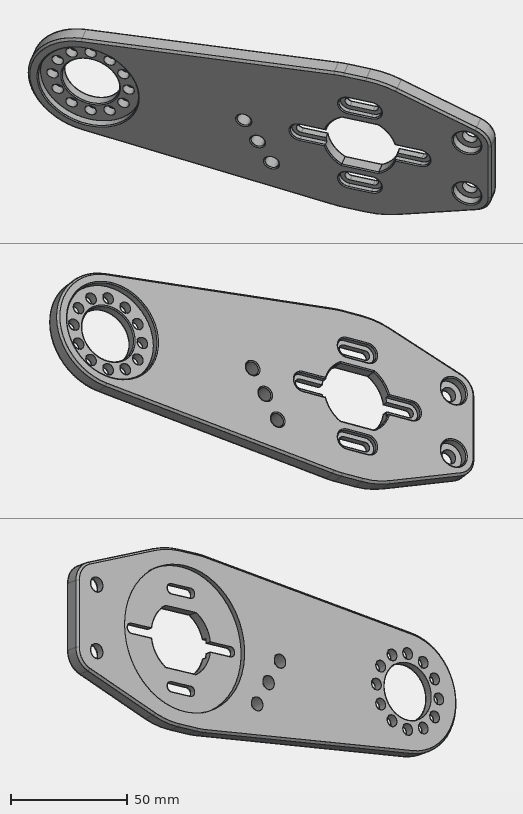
import cadquery as cq
import math


thickness = 8.0
length = 208.5
height = 80.0
round_end_radius = 27.3
right_edge_x = length - round_end_radius
shoulder_left_x = 112.7
shoulder_right_x = 132.1
shoulder_radius = height / 2
right_corner_z = 22.0
right_corner_radius = 10.0
edge_chamfer = 1.0
rim_chamfer = 0.5

seat_radius = 22.5
seat_depth = 3.5
bore_radius = 13.0
ring_hole_count = 12
ring_radius = 17.0
ring_hole_diameter = 5.2

row_hole_count = 3
row_start_x = 70.0
row_pitch = 12.5
row_angle = math.radians(-60)
row_hole_diameter = 6.3

motor_x = 122.3
motor_radius = 16.3
motor_flat_height = 28.0
slot_width = 4.5
slot_recess_width = 8.8
slot_recess_depth = 2.5
side_slot_reach = 27.0
upper_slot_z = 22.0
upper_slot_spacing = 10.5
motor_pocket_radius = 33.0
motor_pocket_depth = 2.5

mount_x = 170.5
mount_z = 15.0
mount_hole_diameter = 6.7
mount_recess_diameter = 12.5
mount_recess_depth = 4.2


def front_plane():
    """Sketch plane on the front face, whose local axes are X and Z; negative extrusions go into the plate."""
    return cq.Workplane("XZ")


def cylinder(x, z, diameter, depth=thickness):
    return front_plane().center(x, z).circle(diameter / 2).extrude(-depth)


def round_rim(x, z, diameter):
    """Cone that chamfers the front rim of a round opening."""
    return front_plane().center(x, z).circle(diameter / 2 + rim_chamfer).extrude(-rim_chamfer, taper=45)


def slot(x, z, centre_spacing, width, depth):
    return front_plane().center(x, z).slot2D(centre_spacing + width, width).extrude(-depth)


def slot_rim(x, z, centre_spacing, width):
    """Flared cutter that chamfers the front rim of a slot."""
    rim_width = width + 2 * rim_chamfer
    outline = front_plane().center(x, z).slot2D(centre_spacing + rim_width, rim_width)
    return outline.extrude(-rim_chamfer, taper=45)


def stepped_slot(x, z, centre_spacing):
    through = slot(x, z, centre_spacing, slot_width, thickness)
    recess = slot(x, z, centre_spacing, slot_recess_width, slot_recess_depth)
    rim = slot_rim(x, z, centre_spacing, slot_recess_width)
    return through.union(recess).union(rim)


def plate():
    shoulder_z = height / 2
    shoulder_distance = math.hypot(shoulder_left_x, shoulder_z)
    tangent_angle = math.atan2(shoulder_z, shoulder_left_x) + math.acos(round_end_radius / shoulder_distance)
    tangent_x = round_end_radius * math.cos(tangent_angle)
    tangent_z = round_end_radius * math.sin(tangent_angle)
    body = (
        front_plane()
        .moveTo(tangent_x, tangent_z)
        .lineTo(shoulder_left_x, shoulder_z)
        .lineTo(shoulder_right_x, shoulder_z)
        .lineTo(right_edge_x, right_corner_z)
        .lineTo(right_edge_x, -right_corner_z)
        .lineTo(shoulder_right_x, -shoulder_z)
        .lineTo(shoulder_left_x, -shoulder_z)
        .lineTo(tangent_x, -tangent_z)
        .threePointArc((-round_end_radius, 0), (tangent_x, tangent_z))
        .close()
        .extrude(-thickness)
    )
    body = body.edges("|Y and (>Z or <Z)").fillet(shoulder_radius)
    body = body.edges("|Y and >X").fillet(right_corner_radius)
    return body.faces("<Y or >Y").edges().chamfer(edge_chamfer)


def bearing_seat():
    cut = cylinder(0, 0, 2 * seat_radius, seat_depth)
    cut = cut.union(round_rim(0, 0, 2 * seat_radius))
    cut = cut.union(cylinder(0, 0, 2 * bore_radius))
    cut = cut.union(round_rim(0, 0, 2 * bore_radius).translate((0, seat_depth, 0)))
    for i in range(ring_hole_count):
        angle = 2 * math.pi * i / ring_hole_count
        x = ring_radius * math.cos(angle)
        z = ring_radius * math.sin(angle)
        cut = cut.union(cylinder(x, z, ring_hole_diameter))
    return cut


def slanted_row():
    cut = cq.Workplane()
    for i in range(row_hole_count):
        x = row_start_x + i * row_pitch * math.cos(row_angle)
        z = i * row_pitch * math.sin(row_angle)
        cut = cut.add(cylinder(x, z, row_hole_diameter))
        cut = cut.add(round_rim(x, z, row_hole_diameter))
    return cut.combine()


def motor_opening():
    """Round opening cut off by a flat above and below, with a chamfered front rim."""
    box_width = 2 * motor_radius + 2 * rim_chamfer
    flats = front_plane().center(motor_x, 0).rect(box_width, motor_flat_height).extrude(-thickness)
    rim_flats = (
        front_plane()
        .center(motor_x, 0)
        .rect(box_width + 2 * rim_chamfer, motor_flat_height + 2 * rim_chamfer)
        .extrude(-rim_chamfer, taper=45)
    )
    opening = cylinder(motor_x, 0, 2 * motor_radius).intersect(flats)
    rim = round_rim(motor_x, 0, 2 * motor_radius).intersect(rim_flats)
    return opening.union(rim)


def motor_mount():
    cut = motor_opening().union(stepped_slot(motor_x, 0, 2 * side_slot_reach))
    for z in (upper_slot_z, -upper_slot_z):
        cut = cut.union(stepped_slot(motor_x, z, upper_slot_spacing))
    return cut


def mount_holes():
    cut = cq.Workplane()
    for z in (mount_z, -mount_z):
        cut = cut.add(cylinder(mount_x, z, mount_hole_diameter))
        cut = cut.add(cylinder(mount_x, z, mount_recess_diameter, mount_recess_depth))
        cut = cut.add(round_rim(mount_x, z, mount_recess_diameter))
    return cut.combine()


def motor_pocket():
    """Round pocket in the back face that thins the plate behind the motor opening."""
    pocket = cylinder(motor_x, 0, 2 * motor_pocket_radius, motor_pocket_depth)
    return pocket.translate((0, thickness - motor_pocket_depth, 0))


result = (
    plate()
    .cut(bearing_seat())
    .cut(slanted_row())
    .cut(motor_mount())
    .cut(motor_pocket())
    .cut(mount_holes())
)